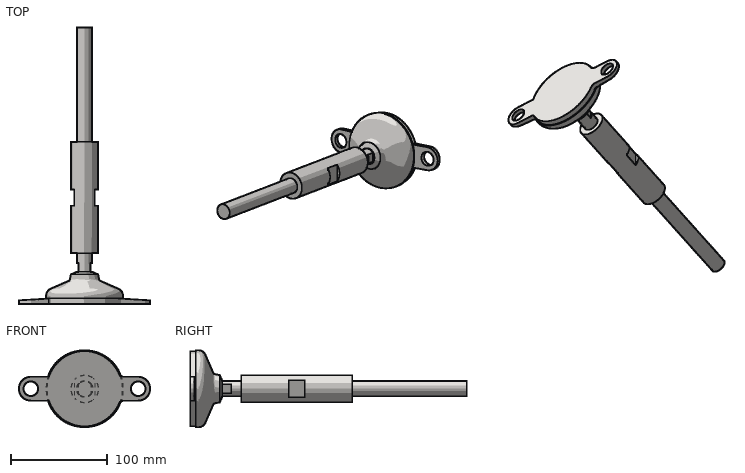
import cadquery as cq
import math

TOTAL_LENGTH = 286.5

BELL_RADIUS = 80.0 / 2
BASE_RADIUS = 39.0
BASE_HEIGHT = 6.0
RIM_TOP = 8.5
SHOULDER_RADIUS = 8.0
CONE_ANGLE = 23.5
CONE_TOP_RADIUS = 16.5
NECK_RADIUS = 15.2
NECK_BASE = 25.8
NECK_TOP_RADIUS = 14.3
NECK_TOP = 30.7
FOOT_TOP_RADIUS = 8.5
FOOT_TOP = 33.2

LUG_SPAN = 136.0
LUG_WIDTH = 25.0
LUG_TIP_THICKNESS = 4.0
LUG_ROOT_THICKNESS = 5.7
LUG_HOLE_DIAMETER = 15.0
LUG_FILLET = 5.7
LUG_TIP = LUG_SPAN / 2
LUG_CENTRE = LUG_TIP - LUG_WIDTH / 2

ROD_DIAMETER = 16.0
ROD_FLAT_WIDTH = 13.0
ROD_FLAT_TOP = 42.5
SLEEVE_DIAMETER = 28.0
SLEEVE_BOTTOM = 52.7
SLEEVE_TOP = 168.0
SLEEVE_FLAT_WIDTH = 21.5
SLEEVE_FLAT_BOTTOM = 102.0
SLEEVE_FLAT_TOP = 118.5


def y_cylinder(diameter, start, end):
    """Cylinder about the Y axis between two heights."""
    base = cq.Workplane("XZ", origin=(0, start, 0))
    return base.circle(diameter / 2).extrude(start - end)


def cut_flats(body, across, start, end, diameter):
    """Cut two parallel flats facing -X and +X between two heights."""
    depth = (diameter - across) / 2
    for side in (-1, 1):
        cutter = cq.Workplane("XY").box(depth, end - start, diameter)
        body = body.cut(cutter.translate((side * (across + depth) / 2, (start + end) / 2, 0)))
    return body


def make_bell():
    """Revolve the base, rim, shoulder, cone and neck about the Y axis."""
    slope = math.radians(CONE_ANGLE)
    arc_centre = BELL_RADIUS - SHOULDER_RADIUS

    def shoulder_point(angle):
        return (
            arc_centre + SHOULDER_RADIUS * math.cos(angle),
            RIM_TOP + SHOULDER_RADIUS * math.sin(angle),
        )

    end_angle = math.pi / 2 - slope
    cone_base = shoulder_point(end_angle)
    cone_top = cone_base[1] + (cone_base[0] - CONE_TOP_RADIUS) * math.tan(slope)
    return (
        cq.Workplane("XY")
        .lineTo(BASE_RADIUS, 0)
        .lineTo(BASE_RADIUS, BASE_HEIGHT)
        .lineTo(BELL_RADIUS, BASE_HEIGHT)
        .lineTo(BELL_RADIUS, RIM_TOP)
        .threePointArc(shoulder_point(end_angle / 2), cone_base)
        .lineTo(CONE_TOP_RADIUS, cone_top)
        .tangentArcPoint((NECK_RADIUS, NECK_BASE), relative=False)
        .lineTo(NECK_TOP_RADIUS, NECK_TOP)
        .lineTo(FOOT_TOP_RADIUS, FOOT_TOP)
        .lineTo(0, FOOT_TOP)
        .close()
        .revolve(360, (0, 0), (0, 1))
    )


def make_lug_fillets():
    """Concave corner pieces between the +X lug and the round base."""
    half_width = LUG_WIDTH / 2
    reach = BASE_RADIUS + LUG_FILLET
    centre_z = half_width + LUG_FILLET
    centre_x = math.sqrt(reach ** 2 - centre_z ** 2)
    touch_x = centre_x * BASE_RADIUS / reach
    touch_z = centre_z * BASE_RADIUS / reach
    mid_angle = (math.atan2(-centre_z, -centre_x) - math.pi / 2) / 2
    mid_x = centre_x + LUG_FILLET * math.cos(mid_angle)
    mid_z = centre_z + LUG_FILLET * math.sin(mid_angle)
    upper = (
        cq.Workplane("XZ")
        .moveTo(0, half_width)
        .lineTo(centre_x, half_width)
        .threePointArc((mid_x, mid_z), (touch_x, touch_z))
        .close()
        .extrude(-LUG_ROOT_THICKNESS)
    )
    return upper.union(upper.mirror("XY"))


def make_lugs():
    """Rounded bar across the base, thinning towards both tips."""
    outline = cq.Workplane("XZ").slot2D(LUG_SPAN, LUG_WIDTH).extrude(-LUG_ROOT_THICKNESS)
    taper = (
        cq.Workplane("XY")
        .moveTo(-LUG_TIP, 0)
        .lineTo(LUG_TIP, 0)
        .lineTo(LUG_TIP, LUG_TIP_THICKNESS)
        .lineTo(BASE_RADIUS, LUG_ROOT_THICKNESS)
        .lineTo(-BASE_RADIUS, LUG_ROOT_THICKNESS)
        .lineTo(-LUG_TIP, LUG_TIP_THICKNESS)
        .close()
        .extrude(LUG_WIDTH / 2, both=True)
    )
    holes = (
        cq.Workplane("XZ")
        .pushPoints([(-LUG_CENTRE, 0), (LUG_CENTRE, 0)])
        .circle(LUG_HOLE_DIAMETER / 2)
        .extrude(-LUG_ROOT_THICKNESS)
    )
    return outline.intersect(taper).cut(holes)


def make_foot():
    return make_bell().union(make_lugs()).union(make_lug_fillets())


def make_spindle():
    """Rod and sleeve in one piece, standing on top of the foot."""
    rod = y_cylinder(ROD_DIAMETER, FOOT_TOP, TOTAL_LENGTH)
    rod = cut_flats(rod, ROD_FLAT_WIDTH, FOOT_TOP, ROD_FLAT_TOP, ROD_DIAMETER)
    sleeve = y_cylinder(SLEEVE_DIAMETER, SLEEVE_BOTTOM, SLEEVE_TOP)
    sleeve = cut_flats(
        sleeve, SLEEVE_FLAT_WIDTH, SLEEVE_FLAT_BOTTOM, SLEEVE_FLAT_TOP, SLEEVE_DIAMETER
    )
    return rod.union(sleeve)


foot = make_foot()
spindle = make_spindle()
result = cq.Compound.makeCompound([foot.solids().val(), spindle.solids().val()])